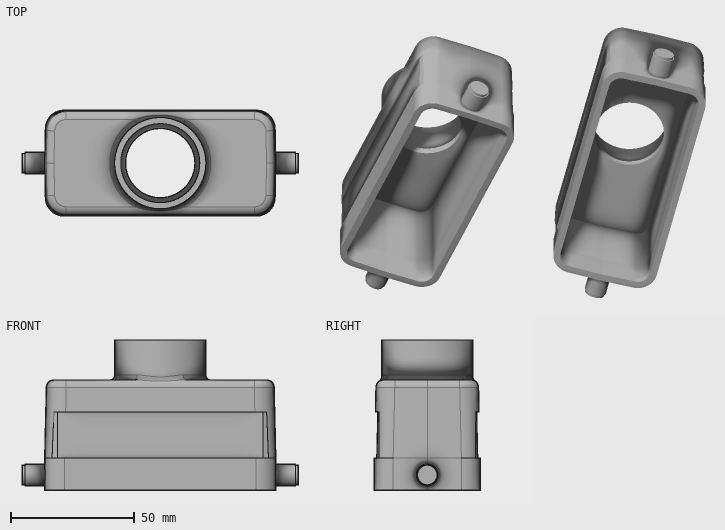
import cadquery as cq

LENGTH = 93.7
WIDTH = 43.0
BODY_TOP = 44.8
BAND_HEIGHT = 13.1
DRAFT = 1.35
END_CROWN = 0.5
CORNER_RADIUS = 7.8
TOP_EDGE_RADIUS = 3.1

SIDE_WALL = 2.8
TOP_WALL = 2.2
CEILING_HEIGHT = BODY_TOP - TOP_WALL

PANEL_TOP = 31.8
PANEL_DEPTH = 1.0
PANEL_FLAT_LENGTH = 83.2
PANEL_END_LENGTH = 2.0
PANEL_END_DROP = 0.8

COLLAR_TOP = 61.0
COLLAR_DIAMETER = 37.0
COLLAR_BORE_DIAMETER = 32.0
ENTRY_DIAMETER = 28.0
COLLAR_SEAT_HEIGHT = 45.6
COLLAR_ROOT_RADIUS = 2.0

PIN_SPAN = 112.0
PIN_HEIGHT = 6.3
PIN_DIAMETER = 8.8
PIN_TIP_DIAMETER = 8.0
PIN_TIP_LENGTH = 1.2


def cylinder(diameter, bottom, top):
    """Upright cylinder on the Z axis."""
    return cq.Workplane("XY").workplane(offset=bottom).circle(diameter / 2).extrude(top - bottom)


def mirrored_outline(half_outline, height):
    """Closed plan outline, completed by turning the given half through 180 degrees."""
    other_half = [(-x, -y) for x, y in half_outline]
    plane = cq.Workplane("XY").workplane(offset=height)
    return plane.polyline(half_outline + other_half).close()


def crowned_block(inset, bottom, top, draft):
    """Block with peaked ends and rounded upright corners, inset from the hood outline."""
    peak = LENGTH / 2 - inset
    shoulder = peak - END_CROWN
    side = WIDTH / 2 - inset
    outline = mirrored_outline([(shoulder, -side), (peak, 0), (shoulder, side)], bottom)
    block = outline.extrude(top - bottom, taper=draft)
    end_ridges = cq.selectors.BoxSelector((-LENGTH, -1.1, bottom), (LENGTH, 1.1, top))
    corners = block.edges("not #Z").edges(cq.selectors.InverseSelector(end_ridges))
    return corners.fillet(CORNER_RADIUS - inset)


def drafted_hood_with_collar():
    """Drafted upper hood with a rounded top edge and the blended collar."""
    hood = crowned_block(0, BAND_HEIGHT, BODY_TOP, DRAFT)
    hood = hood.faces(">Z").edges().fillet(TOP_EDGE_RADIUS)
    hood = hood.union(cylinder(COLLAR_DIAMETER, BAND_HEIGHT, COLLAR_TOP))
    reach = COLLAR_DIAMETER / 2
    root_zone = cq.selectors.BoxSelector(
        (-reach, -reach, BODY_TOP - TOP_EDGE_RADIUS),
        (reach, reach, BODY_TOP + COLLAR_ROOT_RADIUS),
    )
    return hood.edges(root_zone).fillet(COLLAR_ROOT_RADIUS)


def panel_recesses():
    """Material removed from both long sides to leave the sunken panels."""
    height = PANEL_TOP - BAND_HEIGHT
    flat_end = PANEL_FLAT_LENGTH / 2
    face = WIDTH / 2 - PANEL_DEPTH
    overrun = 3
    far_end = flat_end + overrun * PANEL_END_LENGTH
    far_face = face - overrun * PANEL_END_DROP
    front_half = [(-far_end, -far_face), (-flat_end, -face), (flat_end, -face), (far_end, -far_face)]
    core = mirrored_outline(front_half, BAND_HEIGHT).extrude(height, taper=DRAFT)
    plane = cq.Workplane("XY").workplane(offset=BAND_HEIGHT)
    surround = plane.rect(2 * far_end, 2 * WIDTH).extrude(height)
    end_faces = plane.rect(2 * LENGTH, 2 * far_face).extrude(height)
    return surround.cut(core).cut(end_faces)


def cavity():
    """Hollow that follows the outer walls at a constant thickness."""
    straight = crowned_block(SIDE_WALL, 0, BAND_HEIGHT, 0)
    drafted = crowned_block(SIDE_WALL, BAND_HEIGHT, CEILING_HEIGHT, DRAFT)
    return straight.union(drafted)


def locking_pin():
    """Stepped pin on the +X end, rooted inside the end wall."""
    root = (LENGTH - SIDE_WALL) / 2
    shoulder = PIN_SPAN / 2 - PIN_TIP_LENGTH
    shank = cq.Workplane("YZ").workplane(offset=root).center(0, PIN_HEIGHT)
    shank = shank.circle(PIN_DIAMETER / 2).extrude(shoulder - root)
    return shank.faces(">X").workplane().circle(PIN_TIP_DIAMETER / 2).extrude(PIN_TIP_LENGTH)


band = crowned_block(0, 0, BAND_HEIGHT, 0)
hood = drafted_hood_with_collar().union(band)
hood = hood.cut(panel_recesses()).cut(cavity())

hood = hood.cut(cylinder(ENTRY_DIAMETER, 0, COLLAR_TOP))
hood = hood.cut(cylinder(COLLAR_BORE_DIAMETER, COLLAR_SEAT_HEIGHT, COLLAR_TOP))

pin = locking_pin()
result = hood.union(pin).union(pin.mirror("YZ"))